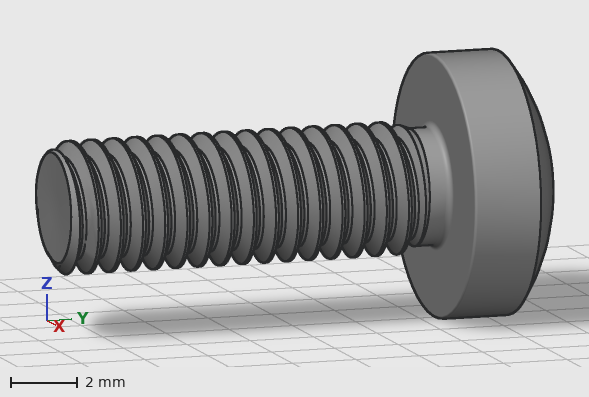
import cadquery as cq
import math


major_radius = 2.0
pitch = 0.7
length = 12.0
flank_half_angle = math.radians(30)
thread_depth = 0.6134 * pitch
crest_width = pitch / 8

neck_radius = 1.77
neck_length = 0.7
neck_fillet = 0.18
lead_in_length = 0.6

tip_radius = 1.69
tip_chamfer_length = major_radius - tip_radius
tip_dish_radius = 1.62
tip_dish_depth = 0.06

head_radius = 4.0
head_height = 3.1
rim_height = 2.07
dome_radius = 6.5
seat_edge_fillet = 0.08


def make_head():
    """Cylindrical rim with a spherical dome, cut flat at the top."""
    dome_center = rim_height - math.sqrt(dome_radius**2 - head_radius**2)
    flat_radius = math.sqrt(dome_radius**2 - (head_height - dome_center) ** 2)
    middle_radius = (head_radius + flat_radius) / 2
    middle_height = dome_center + math.sqrt(dome_radius**2 - middle_radius**2)
    profile = (
        cq.Workplane("XZ")
        .moveTo(0, 0)
        .lineTo(head_radius, 0)
        .lineTo(head_radius, -rim_height)
        .threePointArc((middle_radius, -middle_height), (flat_radius, -head_height))
        .lineTo(0, -head_height)
        .close()
    )
    head = profile.revolve(360, (0, 0, 0), (0, 1, 0))
    return head.faces(">Z").edges().fillet(seat_edge_fillet)


def make_shank_envelope():
    """Outer form of the threaded length: lead-in cone, cylinder and chamfered, dished tip."""
    return (
        cq.Workplane("XZ")
        .moveTo(0, neck_length)
        .lineTo(neck_radius, neck_length)
        .lineTo(major_radius, neck_length + lead_in_length)
        .lineTo(major_radius, length - tip_chamfer_length)
        .lineTo(tip_radius, length)
        .lineTo(tip_dish_radius, length)
        .lineTo(0, length - tip_dish_depth)
        .close()
        .revolve(360, (0, 0, 0), (0, 1, 0))
    )


def make_thread_groove():
    """Helical V groove with a flat root, running past both ends of the threaded length."""
    root_radius = major_radius - thread_depth
    clearance = 0.02
    outer_radius = major_radius + clearance
    slope = math.tan(flank_half_angle)
    root_half_width = (pitch - crest_width) / 2 - thread_depth * slope
    outer_half_width = root_half_width + (outer_radius - root_radius) * slope
    start = pitch / 2
    turns = math.floor(length / pitch)
    helix = cq.Wire.makeHelix(pitch, turns * pitch, root_radius, cq.Vector(0, 0, start))
    return (
        cq.Workplane("XZ")
        .moveTo(root_radius, start - root_half_width)
        .lineTo(outer_radius, start - outer_half_width)
        .lineTo(outer_radius, start + outer_half_width)
        .lineTo(root_radius, start + root_half_width)
        .close()
        .sweep(cq.Workplane(helix), isFrenet=True)
    )


def make_neck():
    """Plain neck with a concave fillet into the head seat."""
    fillet_sag = neck_fillet * (1 - math.cos(math.radians(45)))
    return (
        cq.Workplane("XZ")
        .moveTo(0, 0)
        .lineTo(neck_radius + neck_fillet, 0)
        .threePointArc((neck_radius + fillet_sag, fillet_sag), (neck_radius, neck_fillet))
        .lineTo(neck_radius, neck_length)
        .lineTo(0, neck_length)
        .close()
        .revolve(360, (0, 0, 0), (0, 1, 0))
    )


def make_threaded_shank():
    """Grooved rod, longer than the thread at both ends, trimmed to the outer form of the shank."""
    end_allowance = 3 * pitch
    rod = cq.Workplane("XY").workplane(offset=-end_allowance).circle(major_radius)
    rod = rod.extrude(length + 2 * end_allowance)
    return rod.cut(make_thread_groove()).intersect(make_shank_envelope())


screw = make_head().union(make_neck()).union(make_threaded_shank())
result = screw.rotate((0, 0, 0), (1, 0, 0), 90)